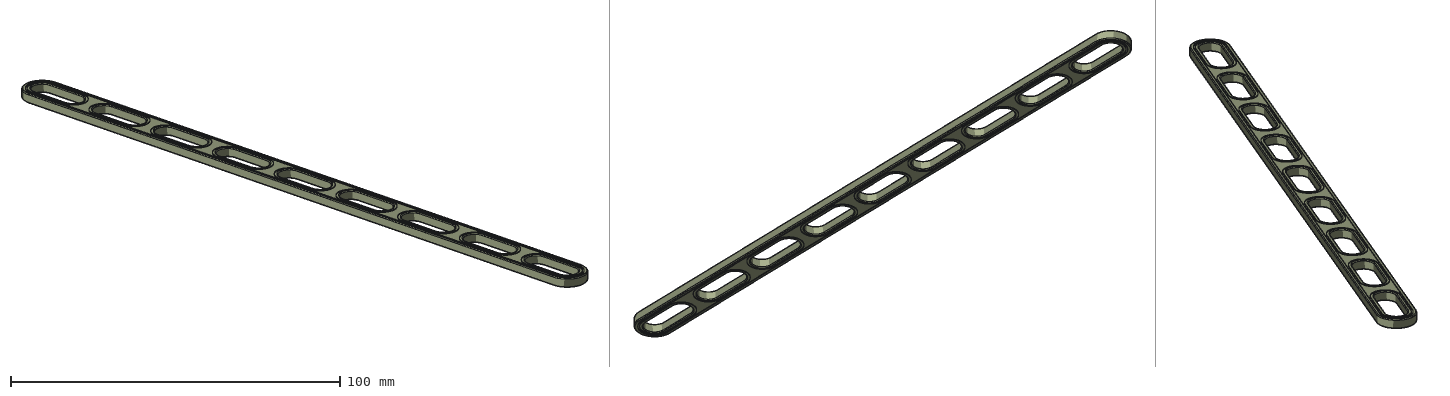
import cadquery as cq
import math

slot_count = 9
pitch = 25.0
strap_length = slot_count * pitch
strap_width = 12.5
strap_thickness = 3.125

wall = 2.75
rim_width = 1.1
recess_depth = 0.2
edge_chamfer = 0.3

slot_length = pitch - 2 * wall
slot_width = strap_width - 2 * wall
slot_centers = [(i - (slot_count - 1) / 2) * pitch for i in range(slot_count)]


def round_bar(center_x, length, width, height):
    """Bar with full-round ends, standing on Z = 0; each end is two quarter arcs."""
    radius = width / 2
    diagonal = radius * math.sqrt(0.5)
    right = length / 2 - radius
    left = -right
    return (
        cq.Workplane("XY", origin=(center_x, 0, 0))
        .moveTo(left, -radius)
        .lineTo(right, -radius)
        .threePointArc((right + diagonal, -diagonal), (right + radius, 0))
        .threePointArc((right + diagonal, diagonal), (right, radius))
        .lineTo(left, radius)
        .threePointArc((left - diagonal, diagonal), (left - radius, 0))
        .threePointArc((left - diagonal, -diagonal), (left, -radius))
        .close()
        .extrude(height)
    )


def cut_slots(body, growth=0):
    """Cut the row of slots through a body, each slot enlarged by growth on every side."""
    for center_x in slot_centers:
        slot = round_bar(center_x, slot_length + 2 * growth, slot_width + 2 * growth, strap_thickness)
        body = body.cut(slot)
    return body


def slotted_strap():
    """Full-round strap with through slots, chamfered on both faces."""
    strap = cut_slots(round_bar(0, strap_length, strap_width, strap_thickness))
    return strap.faces("|Z").edges().chamfer(edge_chamfer)


def recess():
    """Shallow layer between the outer rim and the slot rims, standing on Z = 0."""
    layer = round_bar(0, strap_length - 2 * rim_width, strap_width - 2 * rim_width, recess_depth)
    return cut_slots(layer, growth=rim_width)


def cut_recesses(body):
    """Sink the recess into the bottom and the top face."""
    for base_z in (0, strap_thickness - recess_depth):
        body = body.cut(recess().translate((0, 0, base_z)))
    return body


result = cut_recesses(slotted_strap()).solids()